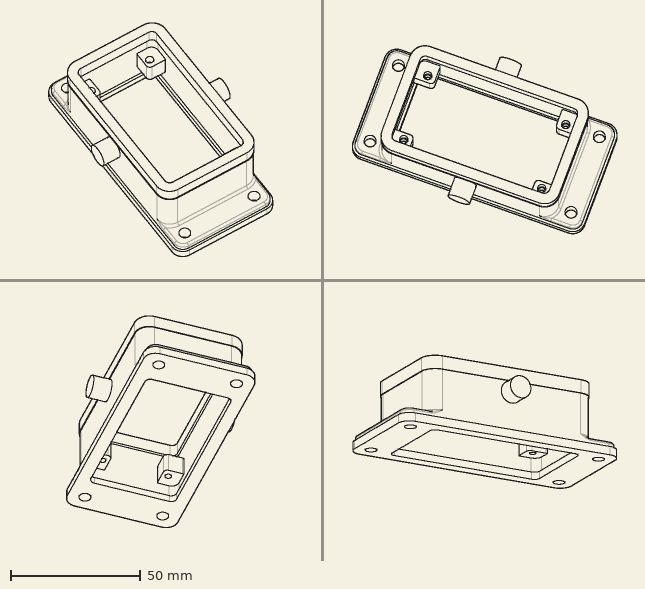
import cadquery as cq

base_length = 95.5
base_width = 45.65
base_height = 3.4
base_corner_radius = 4.9
total_height = 29.0

plate_length = 93.6
plate_width = 43.55
plate_top = 5.9
plate_corner_radius = 3.9
plate_edge_radius = 1.0

body_length = 72.6
body_corner_radius = 5.8
rim_overhang = 0.3
rim_height = 5.4
body_foot_radius = 1.05
rim_bottom = total_height - rim_height

opening_length = 64.9
opening_width = 35.9
opening_corner_radius = 2.2
cavity_relief_x = 1.1
cavity_relief_y = 0.9
floor_opening_width = 35.3
floor_thickness = 3.0

boss_inner_x = 25.1
boss_inner_y = 10.9
boss_corner_radius = 1.6
boss_top = 17.2
boss_bottom = 9.1
boss_hole_x = 28.5
boss_hole_y = 13.6
boss_hole_diameter = 2.5
boss_hole_mouth_diameter = 3.15
boss_hole_mouth_depth = 3.8

mount_hole_diameter = 4.6
mount_hole_x = 41.4
mount_hole_y = 16.0

pin_diameter = 9.0
pin_span = 58.5
pin_height = rim_bottom - pin_diameter / 2

wall_overlap = 1.0
margin = 0.05


def rounded_block(length, width, corner_radius, bottom, top):
    """Centred block with rounded vertical edges."""
    block = cq.Workplane("XY").workplane(offset=bottom).rect(length, width).extrude(top - bottom)
    return block.edges("|Z").fillet(corner_radius)


def at_four_corners(x, y):
    """The point (x, y) mirrored into all four quadrants."""
    return [(sx * x, sy * y) for sx in (-1, 1) for sy in (-1, 1)]


def make_plate_and_body():
    """Body standing on the plate, with its ends blended into the plate and the plate edge rounded."""
    wide_plate = rounded_block(plate_length, 2 * plate_width, plate_corner_radius, base_height, plate_top)
    body = rounded_block(body_length, plate_width, body_corner_radius, base_height, rim_bottom)
    foot_zone = cq.selectors.BoxSelector(
        (-body_length / 2 - margin, -plate_width / 2 - margin, plate_top - margin),
        (body_length / 2 + margin, plate_width / 2 + margin, plate_top + margin),
    )
    blended = wide_plate.union(body).edges(foot_zone).fillet(body_foot_radius)
    outline = rounded_block(plate_length, plate_width, plate_corner_radius, base_height, rim_bottom)
    trimmed = blended.intersect(outline)

    return trimmed.faces(">X or <X").edges(">Z").fillet(plate_edge_radius)


def make_housing():
    """Flange, stepped plate, upright body and rim, still solid inside."""
    base = rounded_block(base_length, base_width, base_corner_radius, 0, base_height)
    rim = rounded_block(
        body_length + 2 * rim_overhang,
        plate_width + 2 * rim_overhang,
        body_corner_radius + rim_overhang,
        rim_bottom,
        total_height,
    )
    return base.union(make_plate_and_body()).union(rim)


def make_interior():
    """Void through the housing: floor opening, wide cavity and rim opening."""
    floor_opening = rounded_block(
        opening_length, floor_opening_width, opening_corner_radius, 0, floor_thickness
    )
    cavity = rounded_block(
        opening_length + 2 * cavity_relief_x,
        opening_width + 2 * cavity_relief_y,
        opening_corner_radius + cavity_relief_y,
        floor_thickness,
        rim_bottom,
    )
    rim_opening = rounded_block(
        opening_length, opening_width, opening_corner_radius, rim_bottom, total_height
    )
    return floor_opening.union(cavity).union(rim_opening)


def make_bosses():
    """Corner bosses that fill the cavity corners and run into the walls around them."""
    boss_length = opening_length / 2 + cavity_relief_x + wall_overlap - boss_inner_x
    boss_width = opening_width / 2 + cavity_relief_y + wall_overlap - boss_inner_y
    centres = at_four_corners(boss_inner_x + boss_length / 2, boss_inner_y + boss_width / 2)
    return (
        cq.Workplane("XY")
        .workplane(offset=boss_bottom)
        .pushPoints(centres)
        .rect(boss_length, boss_width)
        .extrude(boss_top - boss_bottom)
        .edges("|Z")
        .fillet(boss_corner_radius)
    )


def make_pins():
    """Round pins standing out from both long sides of the body."""
    pin_length = pin_span / 2 - plate_width / 2 + wall_overlap
    pin_plane = cq.Workplane("XZ", origin=(0, -pin_span / 2, pin_height))
    pin = pin_plane.circle(pin_diameter / 2).extrude(-pin_length)
    return pin.union(pin.mirror("XZ"))


def holes(diameter, x, y, bottom, top):
    """Four vertical cylinders placed symmetrically about the centre."""
    return (
        cq.Workplane("XY")
        .workplane(offset=bottom)
        .pushPoints(at_four_corners(x, y))
        .circle(diameter / 2)
        .extrude(top - bottom)
    )


mount_holes = holes(mount_hole_diameter, mount_hole_x, mount_hole_y, 0, plate_top)
boss_holes = holes(boss_hole_diameter, boss_hole_x, boss_hole_y, boss_bottom, boss_top)
boss_mouths = holes(
    boss_hole_mouth_diameter, boss_hole_x, boss_hole_y, boss_top - boss_hole_mouth_depth, boss_top
)

result = (
    make_housing()
    .cut(make_interior())
    .union(make_bosses())
    .union(make_pins())
    .cut(mount_holes)
    .cut(boss_holes)
    .cut(boss_mouths)
)